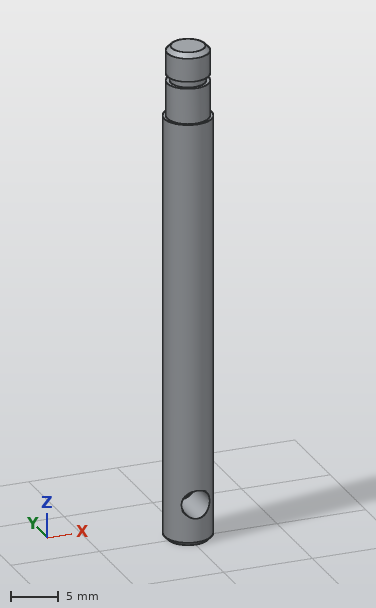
import cadquery as cq

total_length = 55.99
body_diameter = 5.31
foot_chamfer = 0.51

neck_diameter = 4.67
neck_length = 7.94
tip_chamfer = 0.51

groove_diameter = 3.84
groove_width = 0.8
groove_distance_from_tip = 3.15

hole_diameter = 3.175
hole_height = 4.76


def make_pin():
    """Stepped shaft with the foot at Z = 0 and both ends chamfered."""
    body_length = total_length - neck_length
    body = cq.Workplane("XY").circle(body_diameter / 2).extrude(body_length)
    body = body.faces("<Z").chamfer(foot_chamfer)
    neck = cq.Workplane("XY").workplane(offset=body_length).circle(neck_diameter / 2).extrude(neck_length)
    neck = neck.faces(">Z").chamfer(tip_chamfer)
    return body.union(neck)


def make_groove_cutter():
    """Ring that removes the square-sided groove from the neck."""
    groove_bottom = total_length - groove_distance_from_tip - groove_width
    return (
        cq.Workplane("XY")
        .workplane(offset=groove_bottom)
        .circle(body_diameter / 2)
        .circle(groove_diameter / 2)
        .extrude(groove_width)
    )


def make_hole_cutter():
    """Cylinder along Y passing right through the body."""
    return (
        cq.Workplane("XZ")
        .center(0, hole_height)
        .circle(hole_diameter / 2)
        .extrude(body_diameter, both=True)
    )


result = make_pin().cut(make_groove_cutter()).cut(make_hole_cutter())